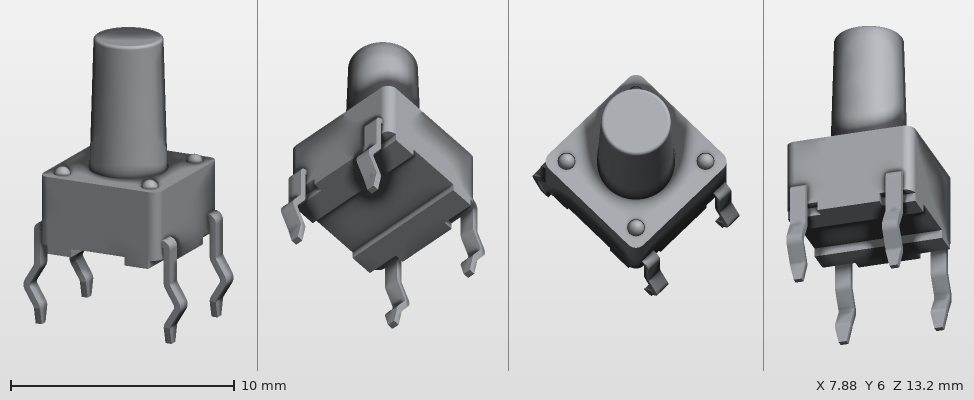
import cadquery as cq
import math

overall_height = 13.25

housing_side = 6.0
housing_height = 3.6
corner_radius = 0.48

relief_depth = 0.4
channel_width = 2.7
notch_inner_y = 1.46
notch_width = corner_radius

rivet_spacing = 4.4
rivet_radius = 0.75 / 2
rivet_height = 0.3
rivet_hole_radius = 0.8 / 2
rivet_hole_depth = 0.13

button_top = 9.71
button_base_radius = 1.75
button_top_radius = 1.56
button_edge_radius = 0.15
button_recess_radius = 3.6 / 2
button_recess_depth = 0.13

lead_bottom = button_top - overall_height
lead_span = 7.88
lead_thickness = 0.3
lead_width = 0.73
lead_spacing = 4.5
lead_shank_face = 3.42
lead_shoulder_top = 1.3
shoulder_bend_radius = 0.25
bulge_bend_radius = 0.36
bulge_angle = 31.5
bulge_middle = lead_bottom + 1.8
lead_root = housing_side / 2 - corner_radius
tip_length = 0.77
tip_end_width = 0.37


def make_block():
    """Rounded square block."""
    return (
        cq.Workplane("XY")
        .rect(housing_side, housing_side)
        .extrude(housing_height)
        .edges("|Z")
        .fillet(corner_radius)
    )


def cut_underside(block):
    """Cut the channel along Y and the four square-cornered notches from the underside."""
    channel = cq.Workplane("XY").rect(channel_width, housing_side).extrude(relief_depth)
    notch_length = housing_side / 2 - notch_inner_y
    notch_spacing_x = housing_side - notch_width
    notch_spacing_y = housing_side - notch_length
    notches = (
        cq.Workplane("XY")
        .rect(notch_spacing_x, notch_spacing_y, forConstruction=True)
        .vertices()
        .rect(notch_width, notch_length)
        .extrude(relief_depth)
    )
    return block.cut(channel).cut(notches)


def make_rivet():
    """Stud with a hemispherical head, on the Z axis, from the floor of its hole to above the top face."""
    hole_floor = housing_height - rivet_hole_depth
    rivet_top = housing_height + rivet_height
    head_center = rivet_top - rivet_radius
    diagonal = rivet_radius * math.sqrt(0.5)
    return (
        cq.Workplane("XZ")
        .moveTo(0, hole_floor)
        .lineTo(rivet_radius, hole_floor)
        .lineTo(rivet_radius, head_center)
        .threePointArc((diagonal, head_center + diagonal), (0, rivet_top))
        .close()
        .revolve(360, (0, 0, 0), (0, 1, 0))
    )


def turn(path, position, heading, angle, radius):
    """Add an arc to the path that turns its heading by an angle in degrees; return the new state."""
    side = math.copysign(1, angle)

    def point_after(turned):
        start = math.radians(heading)
        end = math.radians(heading + turned)
        return (
            position[0] + side * radius * (math.sin(end) - math.sin(start)),
            position[1] - side * radius * (math.cos(end) - math.cos(start)),
        )

    end_point = point_after(angle)
    return path.threePointArc(point_after(angle / 2), end_point), end_point, heading + angle


def advance(path, position, heading, length):
    """Add a straight stretch to the path; return the new state."""
    direction = math.radians(heading)
    end_point = (
        position[0] + length * math.cos(direction),
        position[1] + length * math.sin(direction),
    )
    return path.lineTo(*end_point), end_point, heading


def make_lead():
    """Lead on the +X side, its strip centred on Y = 0, with a tapered tip."""
    shank_x = lead_shank_face - lead_thickness / 2
    shoulder_z = lead_shoulder_top - lead_thickness / 2
    bulge_reach = lead_span / 2 - lead_shank_face
    slope = math.radians(bulge_angle)
    slant_length = (bulge_reach - 2 * bulge_bend_radius * (1 - math.cos(slope))) / math.sin(slope)
    bulge_half_height = 2 * bulge_bend_radius * math.sin(slope) + slant_length * math.cos(slope)
    shank_length = shoulder_z - shoulder_bend_radius - bulge_middle - bulge_half_height
    tip_straight = bulge_middle - bulge_half_height - lead_bottom

    position = (lead_root, shoulder_z)
    path = cq.Workplane("XZ").moveTo(*position)
    state = advance(path, position, 0, shank_x - shoulder_bend_radius - lead_root)
    state = turn(*state, -90, shoulder_bend_radius)
    state = advance(*state, shank_length)
    state = turn(*state, bulge_angle, bulge_bend_radius)
    state = advance(*state, slant_length)
    state = turn(*state, -2 * bulge_angle, bulge_bend_radius)
    state = advance(*state, slant_length)
    state = turn(*state, bulge_angle, bulge_bend_radius)
    path, _, _ = advance(*state, tip_straight)

    strip = (
        cq.Workplane("YZ", origin=(lead_root, 0, shoulder_z))
        .rect(lead_width, lead_thickness)
        .sweep(path)
    )
    tip_start = lead_bottom + tip_length
    front_outline = (
        cq.Workplane("YZ")
        .moveTo(-lead_width / 2, lead_shoulder_top)
        .lineTo(-lead_width / 2, tip_start)
        .lineTo(-tip_end_width / 2, lead_bottom)
        .lineTo(tip_end_width / 2, lead_bottom)
        .lineTo(lead_width / 2, tip_start)
        .lineTo(lead_width / 2, lead_shoulder_top)
        .close()
        .extrude(lead_span / 2)
    )
    return strip.intersect(front_outline)


def cut_round_recess(block, radius, depth, x=0, y=0):
    """Cut a flat-bottomed round recess into the top face."""
    recess = cq.Workplane("XY", origin=(x, y, housing_height - depth)).circle(radius).extrude(depth)
    return block.cut(recess)


def make_housing():
    """Block with its rivets, four leads and the recess that receives the button."""
    housing = cut_underside(make_block())
    housing = cut_round_recess(housing, button_recess_radius, button_recess_depth)
    rivet = make_rivet()
    lead = make_lead()
    for x_side in (-1, 1):
        side_lead = lead if x_side > 0 else lead.mirror("YZ")
        for y_side in (-1, 1):
            rivet_x = x_side * rivet_spacing / 2
            rivet_y = y_side * rivet_spacing / 2
            housing = cut_round_recess(housing, rivet_hole_radius, rivet_hole_depth, rivet_x, rivet_y)
            housing = housing.union(rivet.translate((rivet_x, rivet_y, 0)))
            housing = housing.union(side_lead.translate((0, y_side * lead_spacing / 2, 0)))
    return housing


def make_button():
    """Tapered post with a rounded top edge, standing on the recess floor."""
    return (
        cq.Workplane("XZ")
        .moveTo(0, housing_height - button_recess_depth)
        .lineTo(button_base_radius, housing_height - button_recess_depth)
        .lineTo(button_top_radius, button_top)
        .lineTo(0, button_top)
        .close()
        .revolve(360, (0, 0, 0), (0, 1, 0))
        .faces(">Z")
        .edges()
        .fillet(button_edge_radius)
    )


housing = make_housing()
button = make_button()

result = cq.Compound.makeCompound([housing.val(), button.val()])